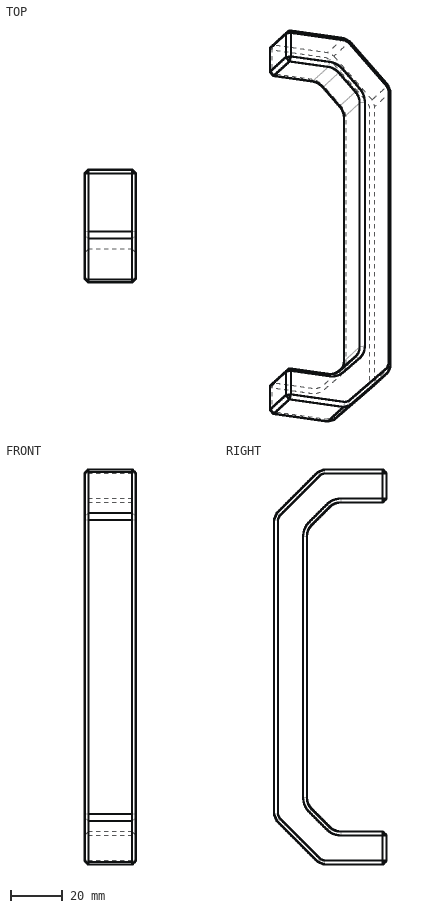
import cadquery as cq
import math

length = 152.4
reach = 43.5
width = 19.8
thickness = 12.8
corner_cut = 18.0
inner_radius = 6.1
edge_chamfer = 1.5

inner_bend = corner_cut + thickness * math.sqrt(2) - thickness

outer_points = [
    (reach, 0),
    (corner_cut, 0),
    (0, corner_cut),
    (0, length - corner_cut),
    (corner_cut, length),
    (reach, length),
]
inner_bends = [
    (inner_bend, length - thickness),
    (thickness, length - inner_bend),
    (thickness, inner_bend),
    (inner_bend, thickness),
]
leg_ends = [(reach, length - thickness), (reach, thickness)]
outline = outer_points + leg_ends[:1] + inner_bends + leg_ends[1:]

body = cq.Workplane("YZ").polyline(outline).close().extrude(width / 2, both=True)

bend_selector = None
for y, z in inner_bends:
    near_bend = cq.selectors.NearestToPointSelector((0, y, z))
    bend_selector = near_bend if bend_selector is None else bend_selector + near_bend
body = body.edges("|X").edges(bend_selector).fillet(inner_radius)

outside_corners = None
for y, z in outer_points + leg_ends:
    near_corner = cq.selectors.NearestToPointSelector((0, y, z))
    outside_corners = near_corner if outside_corners is None else outside_corners + near_corner
side_edges = body.faces("<X or >X").edges()
cross_edges = body.edges("|X").edges(outside_corners)
result = side_edges.add(cross_edges).chamfer(edge_chamfer)